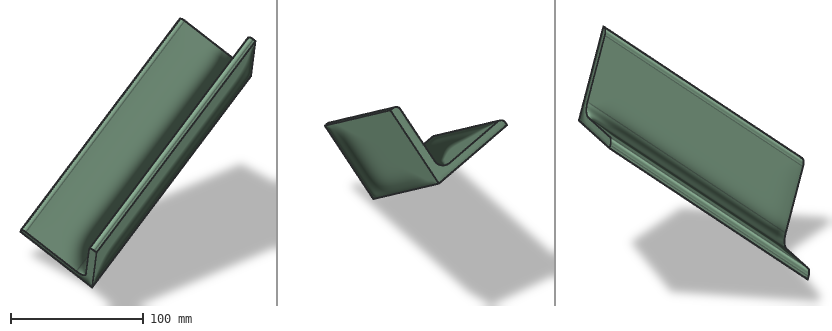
import cadquery as cq
import math

leg = 70.0
thickness = 7.0
root_radius = 9.0
toe_radius = root_radius / 2
bar_length = 201.0

climb_angle = 45.0
miter_angle = 22.5
roll_angle = 20.0

climb = math.radians(climb_angle)
miter_offset = leg * math.tan(math.radians(miter_angle))


def along_bar(distance, height):
    """Return (Y, Z) at a distance along the bar and a height square to it."""
    return (
        distance * math.cos(climb) - height * math.sin(climb),
        distance * math.sin(climb) + height * math.cos(climb),
    )


def angle_bar():
    """Square-ended bar, with its heel at the origin and spare length at both ends."""
    section_plane = cq.Plane(
        origin=(0, 0, 0),
        xDir=(-1, 0, 0),
        normal=(0, math.cos(climb), math.sin(climb)),
    )
    arc_start = leg - toe_radius
    root = thickness + root_radius
    section = (
        cq.Workplane(section_plane)
        .workplane(offset=-leg)
        .lineTo(leg, 0)
        .lineTo(leg, thickness - toe_radius)
        .radiusArc((arc_start, thickness), -toe_radius)
        .lineTo(root, thickness)
        .radiusArc((thickness, root), root_radius)
        .lineTo(thickness, arc_start)
        .radiusArc((thickness - toe_radius, leg), -toe_radius)
        .lineTo(0, leg)
        .close()
    )
    return section.extrude(bar_length + 2 * leg + miter_offset)


def miter_envelope():
    """Block whose sloping ends trim the bar to length."""
    outline = [
        along_bar(0, 0),
        along_bar(bar_length, 0),
        along_bar(bar_length + miter_offset, leg),
        along_bar(miter_offset, leg),
    ]
    return cq.Workplane("YZ").polyline(outline).close().extrude(-leg)


mitred_bar = angle_bar().intersect(miter_envelope())
result = mitred_bar.rotate((0, 0, 0), (0, 1, 0), roll_angle)